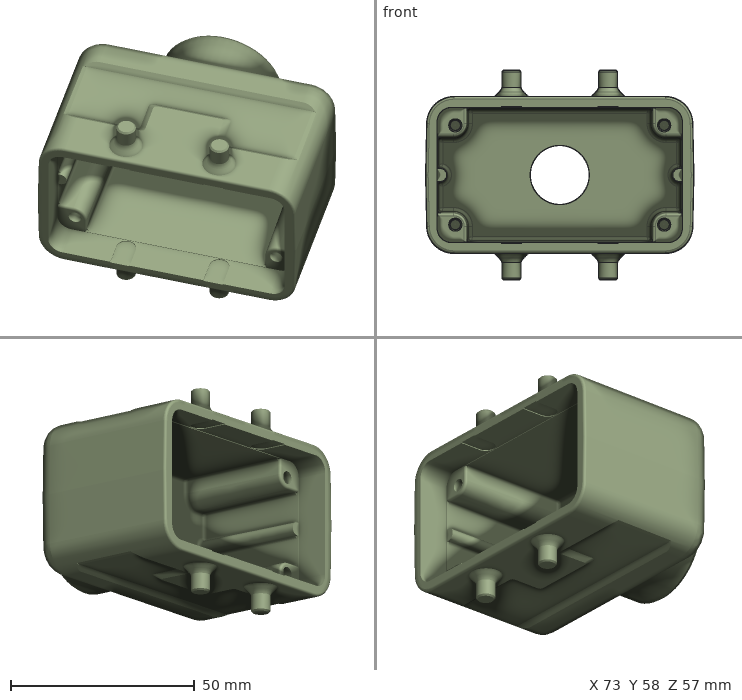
import cadquery as cq
import math


SIDES = (-1, 1)
CORNERS = [(side_x, side_z) for side_x in SIDES for side_z in SIDES]

LENGTH = 73.0
MOUTH_HEIGHT = 42.7
BACK_HEIGHT = 42.2
SHELL_DEPTH = 45.05
END_DRAFT = 1.2
CORNER_RADIUS = 7.45
BACK_RADIUS = 4.8
RIM_RADIUS = 0.7

TOTAL_DEPTH = 58.0
COLLAR_DIAMETER = 34.0
COLLAR_CHAMFER_LENGTH = 1.1
COLLAR_CHAMFER_INSET = 0.7
COLLAR_FLARE = 0.7
BORE_DIAMETER = 16.0

MOUTH_LENGTH_INSIDE = 66.7
MOUTH_HEIGHT_INSIDE = 36.8
MOUTH_DEPTH = 9.2
STEP_SIDE = 0.15
STEP_HEIGHT = 0.15
CAVITY_RADIUS = 4.0
FLOOR_THICKNESS = 3.3
CAVITY_DRAFT = 0.8
FLOOR_FILLET = 1.0
JUNCTION_FILLET = 0.7
FLOOR_Y = SHELL_DEPTH - FLOOR_THICKNESS
DEEP_DEPTH = FLOOR_Y - MOUTH_DEPTH

BOSS_CENTER_X = 28.8
BOSS_CENTER_Z = 13.95
BOSS_RADIUS = 3.6
BOSS_EMBED = 0.9
BOSS_FRONT_RADIUS = 0.7
BOSS_DRAFT = 0.9
SCREW_X = 28.4
SCREW_Z = 13.5
SCREW_MOUTH_DIAMETER = 3.6
SCREW_END_DIAMETER = 2.8
SCREW_DEPTH = 10.95

RIB_CENTER_X = 32.55
RIB_RADIUS = 1.8
RIB_DRAFT = 0.5

PIN_X = 13.15
PIN_Y = 6.3
PIN_SPAN = 57.0
PIN_TIP_Z = PIN_SPAN / 2
PIN_RADIUS = 2.6
PIN_TIP_CHAMFER = 0.45
PIN_NECK_Z = 23.7
PIN_CONE_TOP_Z = 22.55
PIN_CONE_TOP_RADIUS = 3.35
PIN_BASE_RADIUS = 4.7
PIN_SEAT_WIDTH = 5.5
PIN_SEAT_DEPTH = 0.2

RECESS_FLOOR_Z = 20.0
RECESS_FRONT_Y = 14.6
RECESS_BACK_Y = 33.5
RECESS_SLOPE = 1.4
TONGUE_WIDTH = 23.2
TONGUE_END_Y = 24.7
RECESS_CORNER_RADIUS = 1.9
RECESS_FLAT_X = 31.8
RECESS_END_SLOPE = 0.12


def rounded_block(length, height, y_start, depth, radius, draft=0.0):
    """Block running along +Y from y_start, with its four long edges rounded."""
    return (
        cq.Workplane("XZ", origin=(0, y_start, 0))
        .sketch().rect(length, height).vertices().fillet(radius).finalize()
        .extrude(-depth, taper=draft)
    )


def make_shell():
    """Outer block with drafted ends and sides, rounded at its corners, back and rim."""
    corner_x = LENGTH / 2 - MOUTH_HEIGHT / 2 * math.tan(math.radians(END_DRAFT))
    prism = (
        cq.Workplane("XZ")
        .polyline([
            (LENGTH / 2, 0), (corner_x, MOUTH_HEIGHT / 2), (-corner_x, MOUTH_HEIGHT / 2),
            (-LENGTH / 2, 0), (-corner_x, -MOUTH_HEIGHT / 2), (corner_x, -MOUTH_HEIGHT / 2),
        ])
        .close().extrude(-SHELL_DEPTH)
    )
    side_profile = (
        cq.Workplane("YZ")
        .polyline([
            (0, MOUTH_HEIGHT / 2), (SHELL_DEPTH, BACK_HEIGHT / 2),
            (SHELL_DEPTH, -BACK_HEIGHT / 2), (0, -MOUTH_HEIGHT / 2),
        ])
        .close().extrude(LENGTH / 2, both=True)
    )
    shell = prism.intersect(side_profile)
    for side in SIDES:
        corner_edges = cq.selectors.BoxSelector(
            (-LENGTH, SHELL_DEPTH / 4, side * MOUTH_HEIGHT / 4),
            (LENGTH, SHELL_DEPTH * 3 / 4, side * MOUTH_HEIGHT),
        )
        shell = shell.edges(corner_edges).fillet(CORNER_RADIUS)
    shell = shell.faces(">Y").edges().fillet(BACK_RADIUS)
    return shell.faces("<Y").edges().fillet(RIM_RADIUS)


def make_collar():
    """Round collar standing on the back face, flared where it meets the shell."""
    radius = COLLAR_DIAMETER / 2
    root_y = SHELL_DEPTH - FLOOR_THICKNESS / 2
    return (
        cq.Workplane("XY")
        .polyline([
            (0, root_y), (radius, root_y), (radius + COLLAR_FLARE, SHELL_DEPTH),
            (radius, SHELL_DEPTH + COLLAR_FLARE), (radius, TOTAL_DEPTH - COLLAR_CHAMFER_LENGTH),
            (radius - COLLAR_CHAMFER_INSET, TOTAL_DEPTH), (0, TOTAL_DEPTH),
        ])
        .close().revolve(360, (0, 0, 0), (0, 1, 0))
    )


def make_mouth():
    return rounded_block(MOUTH_LENGTH_INSIDE, MOUTH_HEIGHT_INSIDE, 0, MOUTH_DEPTH, CAVITY_RADIUS)


def make_deep_cavity():
    """Drafted pocket behind the mouth, a small step inside its walls."""
    return rounded_block(
        MOUTH_LENGTH_INSIDE - 2 * STEP_SIDE, MOUTH_HEIGHT_INSIDE - 2 * STEP_HEIGHT,
        MOUTH_DEPTH, DEEP_DEPTH, CAVITY_RADIUS, CAVITY_DRAFT,
    )


def make_boss(side_x, side_z):
    """Drafted screw boss filling one corner of the deep cavity."""
    inner_x = BOSS_CENTER_X - BOSS_RADIUS
    inner_z = BOSS_CENTER_Z - BOSS_RADIUS
    outer_x = MOUTH_LENGTH_INSIDE / 2 + BOSS_EMBED
    outer_z = MOUTH_HEIGHT_INSIDE / 2 + BOSS_EMBED
    boss = (
        cq.Workplane("XZ", origin=((inner_x + outer_x) / 2, MOUTH_DEPTH, (inner_z + outer_z) / 2))
        .sketch().rect(outer_x - inner_x, outer_z - inner_z)
        .vertices("(<X and <Y) or (>X and >Y)").fillet(BOSS_RADIUS).finalize()
        .extrude(-DEEP_DEPTH, taper=-BOSS_DRAFT)
    )
    if side_x < 0:
        boss = boss.mirror("YZ")
    if side_z < 0:
        boss = boss.mirror("XY")
    return boss


def make_rib(side_x):
    return (
        cq.Workplane("XZ", origin=(side_x * RIB_CENTER_X, MOUTH_DEPTH, 0))
        .circle(RIB_RADIUS).extrude(-DEEP_DEPTH, taper=-RIB_DRAFT)
    )


def make_screw_hole(side_x, side_z):
    """Tapered pilot hole in the front face of a boss."""
    return (
        cq.Workplane("XZ", origin=(side_x * SCREW_X, MOUTH_DEPTH, side_z * SCREW_Z))
        .circle(SCREW_MOUTH_DIAMETER / 2)
        .workplane(offset=-SCREW_DEPTH).circle(SCREW_END_DIAMETER / 2)
        .loft()
    )


def make_pin(x):
    """Locking pin on a conical foot, rooted inside the shell wall."""
    root_z = MOUTH_HEIGHT_INSIDE / 2 + 2 * PIN_SEAT_DEPTH
    base_z = PIN_CONE_TOP_Z - (PIN_BASE_RADIUS - PIN_CONE_TOP_RADIUS)
    return (
        cq.Workplane("XZ")
        .moveTo(0, root_z).lineTo(PIN_RADIUS, root_z).lineTo(PIN_BASE_RADIUS, base_z)
        .lineTo(PIN_CONE_TOP_RADIUS, PIN_CONE_TOP_Z)
        .tangentArcPoint((PIN_RADIUS, PIN_NECK_Z), relative=False)
        .lineTo(PIN_RADIUS, PIN_TIP_Z - PIN_TIP_CHAMFER)
        .lineTo(PIN_RADIUS - PIN_TIP_CHAMFER, PIN_TIP_Z).lineTo(0, PIN_TIP_Z)
        .close().revolve(360, (0, 0, 0), (0, 1, 0))
        .translate((x, PIN_Y, 0))
    )


def make_pin_seat(x):
    """Shallow round-ended relief in the mouth wall under a pin, open towards the mouth."""
    seat = cq.Workplane("XY", origin=(x, PIN_Y, 0)).circle(PIN_SEAT_WIDTH / 2)
    height = MOUTH_HEIGHT_INSIDE / 2 + PIN_SEAT_DEPTH
    channel = cq.Workplane("XY", origin=(x, PIN_Y / 2, 0)).rect(PIN_SEAT_WIDTH, PIN_Y)
    return seat.extrude(height).union(channel.extrude(height))


def recess_outline(offset):
    """Corner points of the recess, grown outwards by offset."""
    end_x = LENGTH / 2 + offset
    tongue_x = TONGUE_WIDTH / 2 - offset
    front_y = RECESS_FRONT_Y - offset
    back_y = RECESS_BACK_Y + offset
    tongue_y = TONGUE_END_Y - offset
    return [
        (-end_x, front_y), (-tongue_x, front_y), (-tongue_x, tongue_y), (tongue_x, tongue_y),
        (tongue_x, front_y), (end_x, front_y), (end_x, back_y), (-end_x, back_y),
    ]


def make_recess():
    rise = MOUTH_HEIGHT / 2 - RECESS_FLOOR_Z
    recess = (
        cq.Workplane("XY", origin=(0, 0, RECESS_FLOOR_Z))
        .polyline(recess_outline(0)).close()
        .workplane(offset=rise)
        .polyline(recess_outline(rise * RECESS_SLOPE)).close()
        .loft(ruled=True)
    )
    tongue_corners = cq.selectors.BoxSelector(
        (-TONGUE_WIDTH, 0, RECESS_FLOOR_Z + rise / 4),
        (TONGUE_WIDTH, RECESS_BACK_Y, RECESS_FLOOR_Z + rise * 3 / 4),
    )
    recess = recess.edges(tongue_corners).fillet(RECESS_CORNER_RADIUS)
    for side in SIDES:
        recess = recess.union(make_recess_end(side))
    return recess


def make_recess_end(side):
    """Thin wedge that slopes the recess floor off towards one end."""
    run = LENGTH / 2 - RECESS_FLAT_X
    return (
        cq.Workplane("XZ", origin=(side * RECESS_FLAT_X, RECESS_FRONT_Y, RECESS_FLOOR_Z))
        .polyline([(0, 0), (side * run, -run * RECESS_END_SLOPE), (side * run, 0)])
        .close().extrude(RECESS_FRONT_Y - RECESS_BACK_Y)
    )


def both_faces(solid):
    """The solid together with its copy on the opposite Z side."""
    return solid.union(solid.rotate((0, 0, 0), (0, 1, 0), 180))


def junction_edges():
    """Selector for the inside edges where bosses and ribs meet the drafted cavity walls."""
    wall_x = MOUTH_LENGTH_INSIDE / 2
    wall_z = MOUTH_HEIGHT_INSIDE / 2
    band = 1.1
    near_y = MOUTH_DEPTH + DEEP_DEPTH / 4
    far_y = FLOOR_Y - DEEP_DEPTH / 4
    box = cq.selectors.BoxSelector
    return (
        box((wall_x - band, near_y, -BOSS_CENTER_Z), (wall_x, far_y, BOSS_CENTER_Z))
        + box((-wall_x, near_y, -BOSS_CENTER_Z), (band - wall_x, far_y, BOSS_CENTER_Z))
        + box((-BOSS_CENTER_X, near_y, wall_z - band), (BOSS_CENTER_X, far_y, wall_z))
        + box((-BOSS_CENTER_X, near_y, -wall_z), (BOSS_CENTER_X, far_y, band - wall_z))
    )


def floor_edges():
    """Selector for the outline of the cavity floor."""
    reach_x = MOUTH_LENGTH_INSIDE / 2
    reach_z = MOUTH_HEIGHT_INSIDE / 2
    margin = 0.1
    return cq.selectors.BoxSelector(
        (-reach_x, FLOOR_Y - margin, -reach_z), (reach_x, FLOOR_Y + margin, reach_z)
    )


def make_boss_front_trim():
    """What has to go from a thin layer at the boss fronts to leave their front edges rounded."""
    layer = cq.Workplane("XY").box(LENGTH, 2 * BOSS_FRONT_RADIUS, LENGTH).translate((0, MOUTH_DEPTH, 0))
    trim = make_deep_cavity().intersect(layer)
    for corner in CORNERS:
        trim = trim.cut(make_boss(*corner).faces("<Y").edges().fillet(BOSS_FRONT_RADIUS))
    for side in SIDES:
        trim = trim.cut(make_rib(side))
    return trim


result = make_shell().union(make_collar()).cut(make_mouth()).cut(make_deep_cavity())
for corner in CORNERS:
    result = result.union(make_boss(*corner))
for side in SIDES:
    result = result.union(make_rib(side))
result = result.edges(junction_edges()).fillet(JUNCTION_FILLET)
result = result.edges(floor_edges()).fillet(FLOOR_FILLET)
result = result.cut(make_boss_front_trim())
for corner in CORNERS:
    result = result.cut(make_screw_hole(*corner))

result = result.cut(both_faces(make_recess()))
for side in SIDES:
    result = result.union(both_faces(make_pin(side * PIN_X)))
    result = result.cut(both_faces(make_pin_seat(side * PIN_X)))
result = result.cut(cq.Workplane("XZ").circle(BORE_DIAMETER / 2).extrude(-TOTAL_DEPTH))
result = cq.Workplane(result.solids().val())